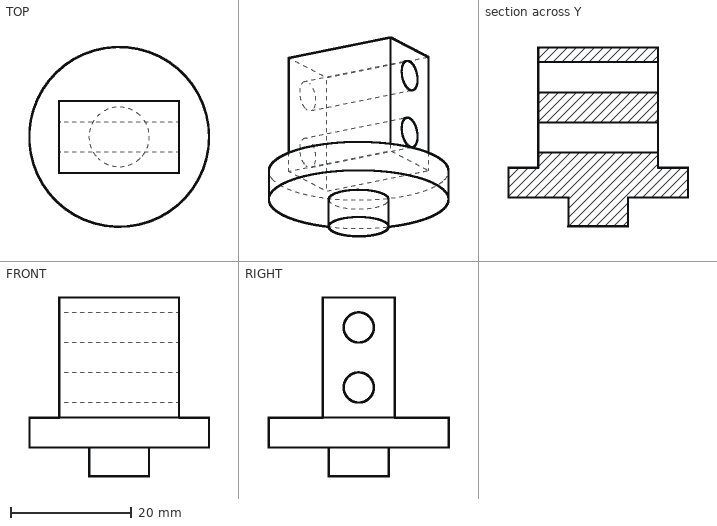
import cadquery as cq

flange_diameter = 30.0
flange_thickness = flange_diameter / 6
block_length = flange_diameter * 2 / 3
block_width = 12.0
block_height = block_length
spigot_diameter = flange_diameter / 3
spigot_length = 4.8
hole_diameter = flange_diameter / 6
hole_spacing = block_height / 2

flange = cq.Workplane("XY").circle(flange_diameter / 2).extrude(flange_thickness)

spigot = cq.Workplane("XY").circle(spigot_diameter / 2).extrude(-spigot_length)

block = (
    cq.Workplane("XY")
    .workplane(offset=flange_thickness)
    .rect(block_length, block_width)
    .extrude(block_height)
)

block_mid_height = flange_thickness + block_height / 2
cross_holes = (
    cq.Workplane("YZ")
    .pushPoints([(0, block_mid_height + side * hole_spacing / 2) for side in (-1, 1)])
    .circle(hole_diameter / 2)
    .extrude(block_length / 2, both=True)
)

result = flange.union(spigot).union(block).cut(cross_holes)